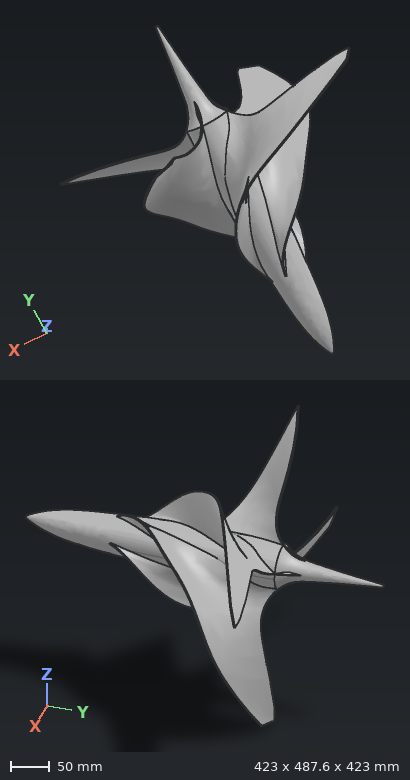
import cadquery as cq
import math

half_length = 243.8
end_radius = 2.0
blade_count = 4
edge_half_thickness = 1.0
root_swell = 15.5
swell_radius = 24.5
swell_decay = 14.5
chord_steps = 16
span_steps = 24
fit_tolerance = 0.01
difference_step = 0.002

body_end = (30.0, 105.0)
nose_and_body = [(14.5, -212.0), (24.0, -156.0), (26.5, -126.8), (30.5, -48.8), (31.5, 24.5), body_end]
tail = [(15.0, 131.5), (12.5, 146.2), (7.0, 195.0), (end_radius, half_length)]

leading_points = [
    (-19.5, -134.0, -3.5),
    (-36.0, -97.5, 4.5),
    (-40.5, -66.0, 31.5),
    (-31.0, -34.0, 64.5),
    (-3.0, 4.0, 92.5),
    (74.5, 48.0, 118.5),
    (128.5, 70.5, 108.5),
    (175.5, 90.0, 90.0),
    (204.0, 102.5, 76.0),
]
trailing_points = [
    (9.8, 148.5, 0.0),
    (15.0, 131.5, 2.0),
    (29.2, 105.0, 7.5),
    (44.0, 92.5, 17.0),
    (63.0, 87.8, 33.5),
    (91.0, 92.0, 43.5),
    (151.0, 104.5, 47.5),
    (211.5, 110.0, 49.0),
]


def edge_curve(points):
    return cq.Edge.makeSpline([cq.Vector(*point) for point in points])


leading_edge = edge_curve(leading_points)
trailing_edge = edge_curve(trailing_points)


def cylindrical(point):
    """Radius, unwrapped angle about Y, and y of a point."""
    angle = math.atan2(point.z, point.x)
    if angle < -math.pi / 2:
        angle += 2 * math.pi
    return math.hypot(point.x, point.z), angle, point.y


def middle_point(span, chord):
    """Point on the blade's middle surface, wound helically between its two edges."""
    lead = cylindrical(leading_edge.positionAt(span))
    trail = cylindrical(trailing_edge.positionAt(span))
    radius, angle, y = [a + chord * (b - a) for a, b in zip(lead, trail)]
    return cq.Vector(radius * math.cos(angle), y, radius * math.sin(angle))


def surface_normal(span, chord):
    span_low, span_high = max(span - difference_step, 0), min(span + difference_step, 1)
    chord_low, chord_high = max(chord - difference_step, 0), min(chord + difference_step, 1)
    along_span = middle_point(span_high, chord) - middle_point(span_low, chord)
    along_chord = middle_point(span, chord_high) - middle_point(span, chord_low)
    return along_span.cross(along_chord).normalized()


def half_thickness(radius, chord):
    fade = math.exp(-max(radius - swell_radius, 0) / swell_decay)
    return edge_half_thickness + root_swell * fade * math.sin(math.pi * chord)


def skin_point(span, chord, side):
    middle = middle_point(span, chord)
    offset = side * half_thickness(math.hypot(middle.x, middle.z), chord)
    return middle + surface_normal(span, chord) * offset


def blade_skin(side):
    """One face of the blade: side is +1 or -1."""
    grid = [
        [skin_point(i / span_steps, j / chord_steps, side) for j in range(chord_steps + 1)]
        for i in range(span_steps + 1)
    ]
    return cq.Face.makeSplineApprox(grid, tol=fit_tolerance, minDeg=3, maxDeg=5)


def edge_near(face, span, chord, side):
    target = cq.Vertex.makeVertex(*skin_point(span, chord, side).toTuple())
    return min(face.Edges(), key=lambda edge: edge.distance(target))


def make_blade():
    upper = blade_skin(1)
    lower = blade_skin(-1)
    rim_middles = [(0, 0.5), (1, 0.5), (0.5, 0), (0.5, 1)]
    rims = [
        cq.Face.makeRuledSurface(edge_near(upper, *middle, 1), edge_near(lower, *middle, -1))
        for middle in rim_middles
    ]
    solid = cq.Solid.makeSolid(cq.Shell.makeShell([upper, lower] + rims))
    return cq.Workplane(solid.fix())


def make_hub():
    return (
        cq.Workplane("XY")
        .moveTo(0, -half_length)
        .lineTo(end_radius, -half_length)
        .spline(nose_and_body, includeCurrent=True)
        .spline(tail, includeCurrent=True)
        .lineTo(0, half_length)
        .close()
        .revolve(360, (0, 0, 0), (0, 1, 0))
    )


result = make_hub()
blade = make_blade()
for index in range(blade_count):
    result = result.union(blade.rotate((0, 0, 0), (0, 1, 0), index * 360 / blade_count))